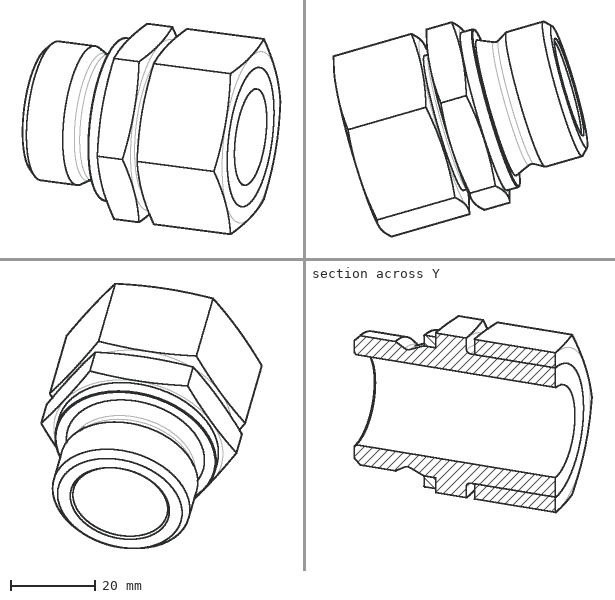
import cadquery as cq
import math


TOTAL_LENGTH = 52.0
STUD_LENGTH = 18.0
RING_WIDTH = 3.0
BODY_HEX_WIDTH = 8.0
NUT_GAP = 2.0
RING_START = STUD_LENGTH
HEX_START = RING_START + RING_WIDTH
HEX_END = HEX_START + BODY_HEX_WIDTH
NUT_START = HEX_END + NUT_GAP
NUT_WIDTH = TOTAL_LENGTH - NUT_START

ACROSS_FLATS = 41.0
ACROSS_CORNERS = ACROSS_FLATS / math.cos(math.radians(30))
HEX_CHAMFER_ANGLE = 15.0

STUD_RADIUS = 16.65
STUD_CHAMFER = 1.55
BORE_RADIUS = 11.5
BORE_CHAMFER = 0.5

GROOVE_RADIUS = 15.1
GROOVE_X = 13.8
GROOVE_ROUND = 1.5
STUD_SIDE_ANGLE = 30.0
RING_SIDE_ANGLE = 23.0

RING_RADIUS = 19.5
RING_CHAMFER = 0.2

NECK_RADIUS = 16.65
NECK_FILLET = 1.0


def chamfered_hexagon(start, width):
    """Hexagonal prism along X whose corners are cut by a cone at both ends."""
    prism = (
        cq.Workplane("YZ", origin=(start, 0, 0))
        .polygon(6, ACROSS_CORNERS)
        .extrude(width)
    )
    flat_radius = ACROSS_FLATS / 2
    corner_radius = ACROSS_CORNERS / 2
    depth = (corner_radius - flat_radius) * math.tan(math.radians(HEX_CHAMFER_ANGLE))
    end = start + width
    envelope = (
        cq.Workplane("XY")
        .moveTo(start, 0)
        .lineTo(start, flat_radius)
        .lineTo(start + depth, corner_radius)
        .lineTo(end - depth, corner_radius)
        .lineTo(end, flat_radius)
        .lineTo(end, 0)
        .close()
        .revolve(360, (0, 0, 0), (1, 0, 0))
    )
    return prism.intersect(envelope)


def groove_point(angle):
    """Point of the groove's rounded bottom where its slope is the given angle in degrees."""
    turn = math.radians(angle)
    return (
        GROOVE_X + GROOVE_ROUND * math.sin(turn),
        GROOVE_RADIUS + GROOVE_ROUND * (1 - math.cos(turn)),
    )


groove_in = groove_point(-STUD_SIDE_ANGLE)
groove_out = groove_point(RING_SIDE_ANGLE)
stud_end = groove_in[0] - (STUD_RADIUS - groove_in[1]) / math.tan(math.radians(STUD_SIDE_ANGLE))
ring_seat_radius = groove_out[1] + (RING_START - groove_out[0]) * math.tan(math.radians(RING_SIDE_ANGLE))


def make_body():
    """Stud, groove, ring seat, hexagon and neck around one through bore."""
    fillet_middle = NECK_FILLET * (1 - math.sqrt(0.5))
    turned = (
        cq.Workplane("XY")
        .moveTo(0, 0)
        .lineTo(0, STUD_RADIUS - STUD_CHAMFER)
        .lineTo(STUD_CHAMFER, STUD_RADIUS)
        .lineTo(stud_end, STUD_RADIUS)
        .lineTo(*groove_in)
        .threePointArc((GROOVE_X, GROOVE_RADIUS), groove_out)
        .lineTo(RING_START, ring_seat_radius)
        .lineTo(HEX_END, ring_seat_radius)
        .lineTo(HEX_END, NECK_RADIUS + NECK_FILLET)
        .threePointArc(
            (HEX_END + fillet_middle, NECK_RADIUS + fillet_middle),
            (HEX_END + NECK_FILLET, NECK_RADIUS),
        )
        .lineTo(TOTAL_LENGTH, NECK_RADIUS)
        .lineTo(TOTAL_LENGTH, 0)
        .close()
        .revolve(360, (0, 0, 0), (1, 0, 0))
    )
    bore = (
        cq.Workplane("XY")
        .moveTo(0, 0)
        .lineTo(0, BORE_RADIUS + BORE_CHAMFER)
        .lineTo(BORE_CHAMFER, BORE_RADIUS)
        .lineTo(TOTAL_LENGTH, BORE_RADIUS)
        .lineTo(TOTAL_LENGTH, 0)
        .close()
        .revolve(360, (0, 0, 0), (1, 0, 0))
    )
    return turned.union(chamfered_hexagon(HEX_START, BODY_HEX_WIDTH)).cut(bore)


def make_sealing_ring():
    """Flat ring on the cylindrical seat in front of the hexagon."""
    ring = (
        cq.Workplane("YZ", origin=(RING_START, 0, 0))
        .circle(RING_RADIUS)
        .extrude(RING_WIDTH)
        .faces("<X")
        .chamfer(RING_CHAMFER)
    )
    seat = cq.Workplane("YZ", origin=(RING_START, 0, 0)).circle(ring_seat_radius).extrude(RING_WIDTH)
    return ring.cut(seat)


def make_nut():
    """Hexagonal union nut on the neck."""
    neck = cq.Workplane("YZ", origin=(NUT_START, 0, 0)).circle(NECK_RADIUS).extrude(NUT_WIDTH)
    return chamfered_hexagon(NUT_START, NUT_WIDTH).cut(neck)


body = make_body()
sealing_ring = make_sealing_ring()
nut = make_nut()

result = cq.Compound.makeCompound([body.val(), sealing_ring.val(), nut.val()])